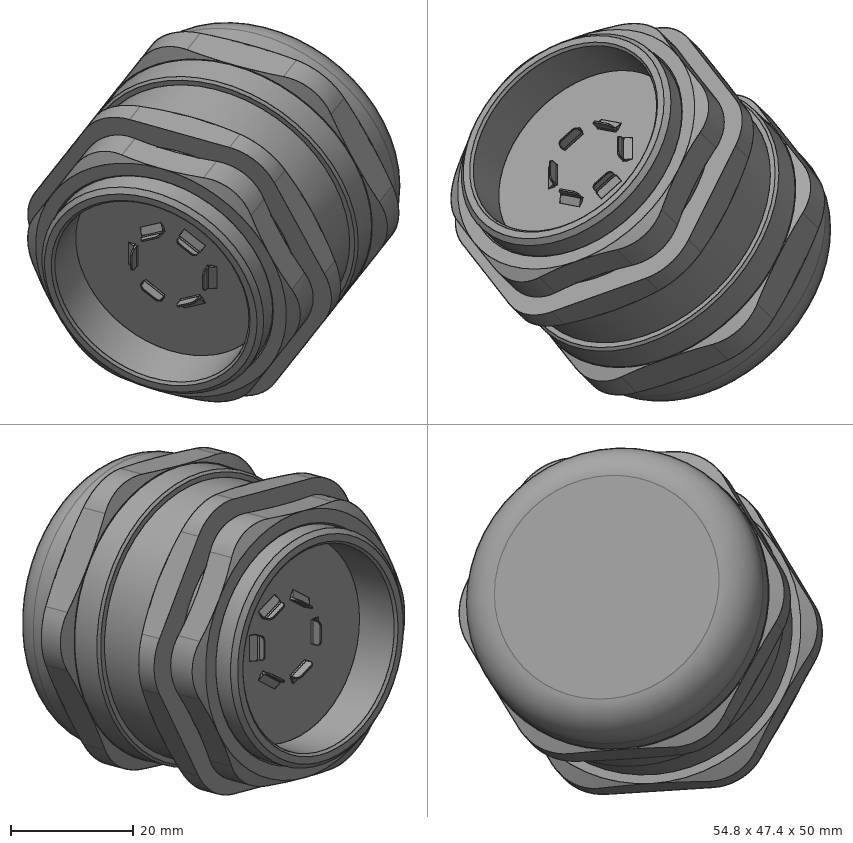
import cadquery as cq
import math

total_length = 47.4

hexagon_ratio = 1 / math.cos(math.radians(30))
hexagon_sides = 6

thread_diameter = 40.0
thread_chamfer = 0.8
bore_diameter = 35.0
bore_chamfer = 0.45
bore_depth = 8.45

locknut_start = 3.95
locknut_end = 10.05
locknut_across_flats = 45.25
locknut_across_corners = 49.2
locknut_chamfer_angle = 30.0
locknut_dish_angle = 27.0
locknut_bore_chamfer = 0.3

seal_outer_diameter = 43.4
seal_section_radius = 1.1
seal_position = 10.25

flange_start = 11.05
flange_end = 16.0
flange_across_flats = 50.0
flange_across_corners = 54.8
flange_chamfer_angle = 30.0
body_diameter = 47.0

cap_start = 26.35
cap_diameter = 49.7
cap_chamfer = 0.45
cap_dome_radius = 6.0
cap_hex_start = 31.9
cap_hex_end = 38.0
cap_hex_across_flats = flange_across_flats
cap_hex_across_corners = 54.65
cap_hex_chamfer_angle = 20.0

tab_count = 6
tongue_foot_radius = 6.25
tongue_foot_thickness = 0.5
tongue_width = 4.05
tongue_height = 2.05
tongue_corner_radius = 0.8
tongue_bevel = 0.1
tongue_bevel_height = 0.35
ramp_width = 4.4
ramp_length = 1.25
ramp_height = 0.65


def revolve_profile(profile):
    """Turn a closed (radius, Y) profile about the Y axis."""
    return profile.close().revolve(360, (0, 0, 0), (0, 1, 0))


def cylinder(diameter, start, end):
    """Cylinder on the gland axis from Y = start to Y = end."""
    return cq.Workplane("XZ", origin=(0, start, 0)).circle(diameter / 2).extrude(start - end)


def rounded_hexagon(across_flats, across_corners, start, end):
    """Hexagonal prism with flats at +Z and -Z and edges rounded to the across-corners size."""
    sharp_corners = across_flats * hexagon_ratio
    edge_radius = (sharp_corners - across_corners) / 2 / (hexagon_ratio - 1)
    plane = cq.Workplane("XZ", origin=(0, start, 0))
    prism = plane.polygon(hexagon_sides, sharp_corners).extrude(start - end)
    return prism.edges("|Y").fillet(edge_radius)


def corner_cone(across_flats, angle, face, direction):
    """Ring that bevels hexagon corners; its cone leaves the face at the inscribed circle.

    direction is the sense along Y in which the cone slopes away from the face.
    """
    inner = across_flats / 2
    outer = inner * hexagon_ratio
    depth = (outer - inner) * math.tan(math.radians(angle))
    profile = cq.Workplane("XY").moveTo(inner, face).lineTo(outer, face)
    return revolve_profile(profile.lineTo(outer, face + direction * depth))


def make_locknut():
    nut = rounded_hexagon(locknut_across_flats, locknut_across_corners, locknut_start, locknut_end)
    nut = nut.cut(corner_cone(locknut_across_flats, locknut_chamfer_angle, locknut_start, 1))
    thread_radius = thread_diameter / 2
    bevel = cq.Workplane("XY").moveTo(thread_radius, locknut_start)
    bevel = bevel.lineTo(thread_radius + locknut_bore_chamfer, locknut_start)
    nut = nut.cut(revolve_profile(bevel.lineTo(thread_radius, locknut_start + locknut_bore_chamfer)))
    rim_radius = locknut_across_corners / 2
    dish_depth = rim_radius * math.tan(math.radians(locknut_dish_angle))
    dish = cq.Workplane("XY").moveTo(0, locknut_end).lineTo(rim_radius, locknut_end)
    return nut.cut(revolve_profile(dish.lineTo(0, locknut_end - dish_depth)))


def make_seal():
    """Ring with a rounded outer side, filling the gap out from the thread."""
    center_radius = seal_outer_diameter / 2 - seal_section_radius
    lower = seal_position - seal_section_radius
    upper = seal_position + seal_section_radius
    section = (
        cq.Workplane("XY")
        .moveTo(thread_diameter / 2, lower)
        .lineTo(center_radius, lower)
        .threePointArc((seal_outer_diameter / 2, seal_position), (center_radius, upper))
        .lineTo(thread_diameter / 2, upper)
    )
    return revolve_profile(section)


def make_flange():
    flange = rounded_hexagon(flange_across_flats, flange_across_corners, flange_start, flange_end)
    return flange.cut(corner_cone(flange_across_flats, flange_chamfer_angle, flange_end, -1))


def make_cap():
    cap = cylinder(cap_diameter, cap_start, total_length)
    cap = cap.faces("<Y").chamfer(cap_chamfer)
    cap = cap.faces(">Y").edges().fillet(cap_dome_radius)
    hexagon = rounded_hexagon(
        cap_hex_across_flats, cap_hex_across_corners, cap_hex_start, cap_hex_end
    )
    hexagon = hexagon.cut(corner_cone(cap_hex_across_flats, cap_hex_chamfer_angle, cap_hex_start, 1))
    hexagon = hexagon.cut(corner_cone(cap_hex_across_flats, cap_hex_chamfer_angle, cap_hex_end, -1))
    return cap.union(hexagon)


def make_tab():
    """Tab on the +X side, standing on the bore floor and pointing to -Y."""
    foot_outer = tongue_foot_radius + tongue_foot_thickness
    blade_inner = tongue_foot_radius + tongue_bevel
    blade_outer = foot_outer - tongue_bevel
    ramp_top = bore_depth - ramp_height
    tip = bore_depth - tongue_height
    tongue = (
        cq.Workplane("XY")
        .moveTo(tongue_foot_radius, bore_depth)
        .lineTo(blade_inner, bore_depth - tongue_bevel_height)
        .lineTo(blade_inner, tip)
        .lineTo(blade_outer, tip)
        .lineTo(blade_outer, ramp_top - tongue_bevel_height)
        .lineTo(foot_outer, ramp_top)
        .lineTo(foot_outer, bore_depth)
        .close()
        .extrude(tongue_width / 2, both=True)
    )
    tongue = tongue.faces("<Y").edges("|X").fillet(tongue_corner_radius)
    ramp = (
        cq.Workplane("XY")
        .moveTo(foot_outer, bore_depth)
        .lineTo(foot_outer + ramp_length, bore_depth)
        .lineTo(foot_outer, ramp_top)
        .close()
        .extrude(ramp_width / 2, both=True)
    )
    return tongue.union(ramp)


spigot = cylinder(thread_diameter, 0, flange_end).faces("<Y").chamfer(thread_chamfer)
body = cylinder(body_diameter, flange_start, total_length - cap_dome_radius)
result = spigot.union(make_locknut()).union(make_seal()).union(make_flange()).union(body)
result = result.union(make_cap())

bore = cylinder(bore_diameter, 0, bore_depth)
result = result.cut(bore)
bore_rim = result.faces("<Y").edges(cq.selectors.RadiusNthSelector(0))
result = bore_rim.chamfer(bore_chamfer)

for index in range(tab_count):
    tab = make_tab().rotate((0, 0, 0), (0, 1, 0), index * 360 / tab_count)
    result = result.union(tab)